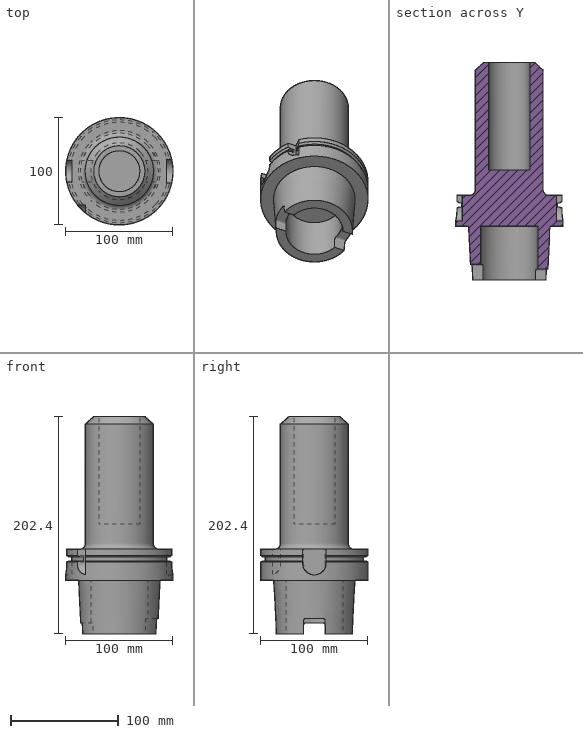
import cadquery as cq
import math


overall_length = 202.4
barrel_radius = 63.5 / 2
nose_radius = 23.75
nose_height = 7.3
bore_radius = 38.1 / 2
bore_depth = 100.0
root_fillet = 5.0

flange_radius = 50.0
flange_height = 29.0
groove_low = 17.05
groove_high = 23.2
groove_floor_low = 17.95
groove_floor_high = 21.65
groove_lip_radius = 48.0
groove_floor_radius = 45.75

shank_length = 50.0
shank_top_radius = 38.0
shank_end_radius = 35.5
cavity_radius = 53.0 / 2

slot_bottom = 5.0
drive_slot_floor = 44.0
left_slot_width = 20.0
right_slot_width = 22.0
notch_corner = 31.3
notch_width = 20.0

keyway_width = 20.0
left_keyway_depth = 10.3
right_keyway_depth = 14.6
keyway_corner_radius = 2.0

shank_end = -shank_length
barrel_top = overall_length - shank_length


def turned_body():
    """Revolve the outer profile, from the shank end up to the nose."""
    fillet_reach = root_fillet * (1 - math.sqrt(0.5))
    profile = (
        cq.Workplane("XZ")
        .moveTo(0, shank_end)
        .lineTo(shank_end_radius, shank_end)
        .lineTo(shank_top_radius, 0)
        .lineTo(flange_radius, 0)
        .lineTo(flange_radius, groove_low)
        .lineTo(groove_lip_radius, groove_floor_low)
        .lineTo(groove_floor_radius, groove_floor_low)
        .lineTo(groove_floor_radius, groove_floor_high)
        .lineTo(groove_lip_radius, groove_floor_high)
        .lineTo(flange_radius, groove_high)
        .lineTo(flange_radius, flange_height)
        .lineTo(barrel_radius + root_fillet, flange_height)
        .threePointArc(
            (barrel_radius + fillet_reach, flange_height + fillet_reach),
            (barrel_radius, flange_height + root_fillet),
        )
        .lineTo(barrel_radius, barrel_top - nose_height)
        .lineTo(nose_radius, barrel_top)
        .lineTo(0, barrel_top)
        .close()
    )
    return profile.revolve(360, (0, 0, 0), (0, 1, 0))


def tool_bore():
    """Blind bore from the nose."""
    return cq.Workplane("XY").workplane(offset=barrel_top).circle(bore_radius).extrude(-bore_depth)


def shank_cavity():
    """Blind cavity that makes the shank hollow, joining the two keyways."""
    return cq.Workplane("XY").workplane(offset=shank_end).circle(cavity_radius).extrude(shank_length)


def rim_slot(floor_x, centre_y, width):
    """Slot open at the flange top and outward along X, with a half-round lower end."""
    radius = width / 2
    arc_centre = slot_bottom + radius
    outward = math.copysign(flange_radius, floor_x)
    return (
        cq.Workplane("YZ", origin=(floor_x, centre_y, 0))
        .moveTo(-radius, flange_height)
        .lineTo(-radius, arc_centre)
        .threePointArc((0, slot_bottom), (radius, arc_centre))
        .lineTo(radius, flange_height)
        .close()
        .extrude(outward)
    )


def keyway(side, depth):
    """Keyway from the axis outward on one side (-1 or +1), with rounded top corners."""
    block = cq.Workplane("XY", origin=(side * flange_radius / 2, 0, shank_end)).box(
        flange_radius, keyway_width, depth, centered=(True, True, False)
    )
    return block.edges("|X and >Z").fillet(keyway_corner_radius)


result = (
    turned_body()
    .cut(tool_bore())
    .cut(shank_cavity())
    .cut(rim_slot(-drive_slot_floor, 0, left_slot_width))
    .cut(rim_slot(drive_slot_floor, 0, right_slot_width))
    .cut(rim_slot(-notch_corner, -notch_corner - notch_width / 2, notch_width))
    .cut(keyway(-1, left_keyway_depth))
    .cut(keyway(1, right_keyway_depth))
)